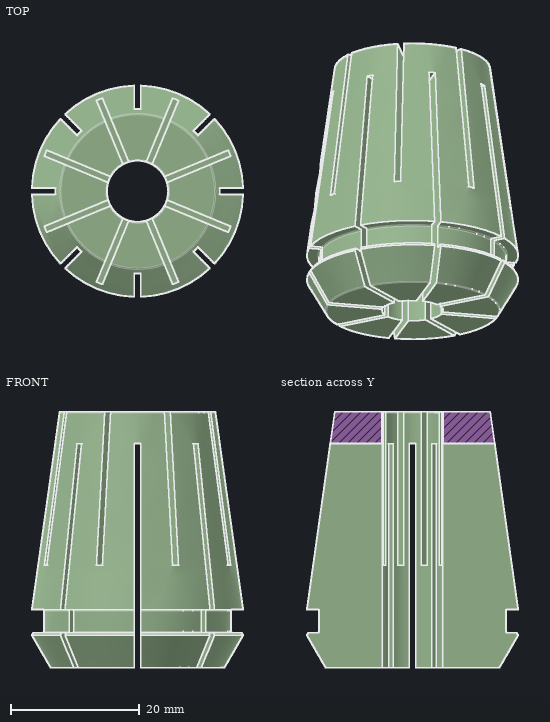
import cadquery as cq
import math

height = 40.0
max_radius = 16.5
bore_diameter = 9.53
bore_radius = bore_diameter / 2
edge_round = 0.2

taper_angle = 8.0
taper_base_z = 9.1

groove_base_z = 5.5
groove_radius = 14.6

nose_angle = 30.0
nose_rim_z = 5.1
rim_inset = 0.25

slot_width = 1.0
slots_per_end = 8
slot_pitch = 360.0 / slots_per_end
bottom_slot_end_z = 35.0
top_slot_end_z = 16.0
slot_reach = max_radius + 1.0

match_tolerance = 0.001

top_radius = max_radius - (height - taper_base_z) * math.tan(math.radians(taper_angle))
nose_radius = max_radius - nose_rim_z * math.tan(math.radians(nose_angle))


def make_body():
    """Revolved collet blank with sharp edges and a through bore."""
    profile = (
        cq.Workplane("XZ")
        .moveTo(bore_radius, 0)
        .lineTo(nose_radius, 0)
        .lineTo(max_radius, nose_rim_z)
        .lineTo(max_radius - rim_inset, groove_base_z)
        .lineTo(groove_radius, groove_base_z)
        .lineTo(groove_radius, taper_base_z)
        .lineTo(max_radius, taper_base_z)
        .lineTo(top_radius, height)
        .lineTo(bore_radius, height)
        .close()
    )
    return profile.revolve(360, (0, 0, 0), (0, 1, 0))


def circle_edges(body, radius, z):
    """Circular edges of the body centred on the axis at the given radius and height."""
    centre = cq.Vector(0, 0, z)
    return body.edges("%CIRCLE").filter(
        lambda edge: abs(edge.radius() - radius) < match_tolerance
        and (edge.arcCenter() - centre).Length < match_tolerance
    )


def round_edges(body):
    """Round the nose, taper-top and bore-mouth edges and both groove roots."""
    rounded_circles = [
        (nose_radius, 0),
        (groove_radius, groove_base_z),
        (groove_radius, taper_base_z),
        (top_radius, height),
        (bore_radius, height),
    ]
    for radius, z in rounded_circles:
        body = circle_edges(body, radius, z).fillet(edge_round)
    return body


def cut_slots(body, start_z, end_z, first_angle):
    """Cut evenly spaced radial slots from the bore out through the wall."""
    blade = (
        cq.Workplane("XY")
        .workplane(offset=start_z)
        .box(slot_reach, slot_width, end_z - start_z, centered=(False, True, False))
    )
    for index in range(slots_per_end):
        angle = first_angle + index * slot_pitch
        body = body.cut(blade.rotate((0, 0, 0), (0, 0, 1), angle))
    return body


result = round_edges(make_body())
result = cut_slots(result, 0, bottom_slot_end_z, 0)
result = cut_slots(result, top_slot_end_z, height, slot_pitch / 2)